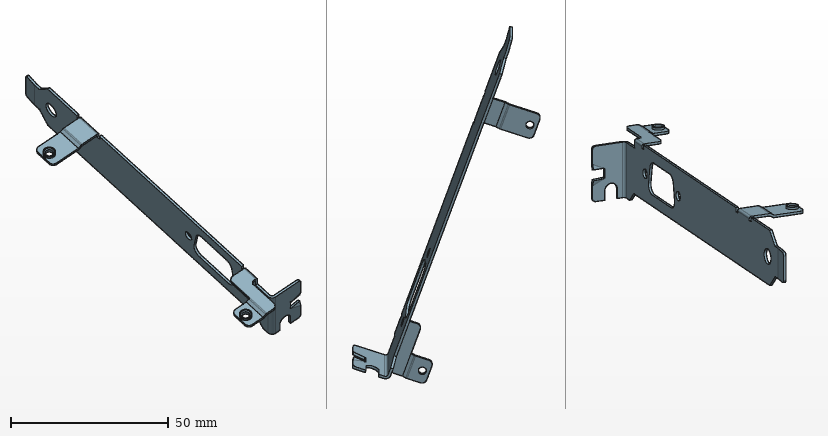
import cadquery as cq
import math

sheet = 0.9
length = 125.9
height = 21.7
arm_reach = 18.6
flange_reach = 12.3

plate_height = 18.5
plate_bottom = height - plate_height
plate_middle = plate_bottom + plate_height / 2
flange_x = 120.9
flange_top = 18.6
flange_bend_radius = 1.8
foot_left = 116.7
step_x = 113.0
shoulder_start = 7.3
shoulder_end = 11.3
tab_height = 10.2
tab_length = 4.9
tab_tilt = 5.0
tab_corner_radius = 1.0

locating_hole_x = 13.0
locating_hole_diameter = 5.0
connector_x = 92.7
connector_width = 19.5
connector_height = 11.0
connector_side_angle = 10.0
connector_corner_radius = 2.8
screw_spacing = 24.9
screw_hole_diameter = 3.0

near_arm_left = 26.7
near_arm_width = 8.8
relief_width = 1.1
relief_depth = 1.4
far_arm_left = 107.4
far_arm_inner_y = -1.9
far_arm_outer_y = -6.4
far_arm_tip_y = -14.0
far_pad_width = 8.2
arm_corner_radius = 1.6
arm_root_radius = 0.8
arm_elbow_radius = 1.1
joggle_start_y = -6.5
joggle_angle = 30.0
joggle_drop = 0.8
joggle_bend_radius = 0.9

collar_inset = 2.4
collar_radius = 2.0
collar_hole_radius = 1.3
countersink = 0.4

screw_slot_y = 5.8
screw_slot_width = 4.4
screw_slot_top = 5.4
notch_root_y = 8.0
notch_width = 3.0
notch_z = 9.1
flange_corner_radius = 1.1
lip_height = 1.9
lip_angle = 16.0


def box(x0, x1, y0, y1, z0, z1):
    """Axis-aligned block between the given limits."""
    return cq.Workplane("XY").box(x1 - x0, y1 - y0, z1 - z0, centered=False).translate((x0, y0, z0))


def make_plate_and_flange():
    """Bent strip cut to the outline of the plate."""
    tab_shift = tab_length * math.tan(math.radians(tab_tilt))
    strip = (
        cq.Workplane("XY")
        .polyline([
            (0, tab_shift), (tab_length, 0), (flange_x, 0), (flange_x, flange_reach),
            (flange_x - sheet, flange_reach), (flange_x - sheet, sheet),
            (tab_length, sheet), (0, sheet + tab_shift),
        ])
        .close()
        .extrude(height)
    )
    strip = strip.edges(cq.NearestToPointSelector((flange_x, 0, height / 2))).fillet(flange_bend_radius)
    inner_corner = cq.NearestToPointSelector((flange_x - sheet, sheet, height / 2))
    strip = strip.edges(inner_corner).fillet(flange_bend_radius - sheet)

    tab_bottom = plate_middle - tab_height / 2
    tab_top = plate_middle + tab_height / 2
    outline = (
        cq.Workplane("XZ", origin=(0, flange_reach, 0))
        .polyline([
            (0, tab_bottom), (shoulder_start, tab_bottom), (shoulder_end, plate_bottom),
            (foot_left - plate_bottom, plate_bottom), (foot_left, 0), (flange_x, 0),
            (flange_x, flange_top), (step_x, flange_top), (step_x, height),
            (shoulder_end, height), (shoulder_start, tab_top), (0, tab_top),
        ])
        .close()
        .extrude(flange_reach)
        .edges("|Y and <X")
        .fillet(tab_corner_radius)
    )
    return strip.intersect(outline).edges("|X and >Y").fillet(flange_corner_radius)


def plate_openings():
    """Locating hole, connector window with its two screw holes."""
    front = cq.Workplane("XZ", origin=(0, sheet, 0))
    lean = math.radians(connector_side_angle)
    corner_setback = connector_corner_radius * math.tan(math.pi / 4 + lean / 2)
    half_bottom = connector_width / 2 - connector_corner_radius + corner_setback
    half_top = half_bottom - connector_height * math.tan(lean)
    low = plate_middle - connector_height / 2
    high = plate_middle + connector_height / 2
    window = (
        front.polyline([
            (connector_x - half_bottom, low), (connector_x + half_bottom, low),
            (connector_x + half_top, high), (connector_x - half_top, high),
        ])
        .close()
        .extrude(sheet)
        .edges("|Y")
        .fillet(connector_corner_radius)
    )
    locating_hole = (
        front.center(locating_hole_x, plate_middle)
        .circle(locating_hole_diameter / 2)
        .extrude(sheet)
    )
    screw_holes = (
        front.center(connector_x, plate_middle)
        .pushPoints([(-screw_spacing / 2, 0), (screw_spacing / 2, 0)])
        .circle(screw_hole_diameter / 2)
        .extrude(sheet)
    )
    return window.union(locating_hole).union(screw_holes)


def arm_reliefs():
    """Notches in the top edge beside the arm roots."""
    reliefs = cq.Workplane("XY")
    near_arm_right = near_arm_left + near_arm_width
    for left in (near_arm_left - relief_width, near_arm_right, far_arm_left - relief_width):
        reliefs = reliefs.add(box(left, left + relief_width, 0, sheet, height - relief_depth, height))
    return reliefs.combine()


def joggled_strip():
    """Long strip with the arm side profile, running the full length of the part."""
    slope = math.tan(math.radians(joggle_angle))
    run = joggle_drop / slope
    lag = sheet * math.tan(math.radians(joggle_angle / 2))
    under_start_y = joggle_start_y + lag
    under_end_y = under_start_y - run
    pad_top = height - joggle_drop
    strip = (
        cq.Workplane("YZ")
        .polyline([
            (0, height), (joggle_start_y, height), (joggle_start_y - run, pad_top),
            (-arm_reach, pad_top), (-arm_reach, pad_top - sheet), (under_end_y, pad_top - sheet),
            (under_start_y, height - sheet), (0, height - sheet),
        ])
        .close()
        .extrude(length)
    )
    for y, z in ((joggle_start_y, height), (under_end_y, pad_top - sheet)):
        strip = strip.edges(cq.NearestToPointSelector((length / 2, y, z))).fillet(joggle_bend_radius)
    return strip


def near_arm_plan():
    """Straight arm outline seen along Z, as a full-height block."""
    plan = box(near_arm_left, near_arm_left + near_arm_width, -arm_reach, 0, 0, height)
    return plan.edges("|Z and <Y").fillet(arm_corner_radius)


def far_arm_plan():
    """Cranked arm outline seen along Z, as a full-height block."""
    pad_left = length - far_pad_width
    plan = (
        cq.Workplane("XY")
        .polyline([
            (far_arm_left, 0), (far_arm_left, far_arm_outer_y), (pad_left, far_arm_outer_y),
            (pad_left, far_arm_tip_y), (length, far_arm_tip_y), (length, far_arm_inner_y),
            (step_x, far_arm_inner_y), (step_x, 0),
        ])
        .close()
        .extrude(height)
    )
    rounded = (
        (far_arm_left, far_arm_outer_y), (pad_left, far_arm_tip_y),
        (length, far_arm_tip_y), (length, far_arm_inner_y),
    )
    for x, y in rounded:
        plan = plan.edges(cq.NearestToPointSelector((x, y, height / 2))).fillet(arm_corner_radius)
    elbow = cq.NearestToPointSelector((step_x, far_arm_inner_y, height / 2))
    return plan.edges(elbow).fillet(arm_elbow_radius)


def add_collar(arm, x, y):
    """Collar standing on the pad, flush with the top of the arm, with a bevelled through hole."""
    pad_bottom = height - joggle_drop - sheet
    base = cq.Workplane("XY", origin=(x, y, pad_bottom))
    depth = height - pad_bottom
    collar = base.circle(collar_radius).extrude(depth)
    bore = (
        base.circle(collar_hole_radius)
        .extrude(depth)
        .faces(">Z")
        .workplane(offset=-countersink)
        .circle(collar_hole_radius)
        .workplane(offset=countersink)
        .circle(collar_hole_radius + countersink)
        .loft(combine=True)
    )
    return arm.union(collar).cut(bore)


def flange_openings():
    """Round-ended screw slot and the open notch in the flange tip."""
    inner_x = flange_x - sheet
    slot_radius = screw_slot_width / 2
    slot_center_z = screw_slot_top - slot_radius
    slot = box(inner_x, flange_x, screw_slot_y - slot_radius, screw_slot_y + slot_radius, 0, slot_center_z)
    slot_end = (
        cq.Workplane("YZ", origin=(inner_x, screw_slot_y, slot_center_z))
        .circle(slot_radius)
        .extrude(sheet)
    )
    notch = box(
        inner_x, flange_x, notch_root_y, flange_reach,
        notch_z - notch_width / 2, notch_z + notch_width / 2,
    )
    return slot.union(slot_end).union(notch)


def lip_blank(side):
    """Triangle between the notch edge and its bend line; side is +1 above the notch, -1 below."""
    edge_z = notch_z + side * notch_width / 2
    return (
        cq.Workplane("YZ", origin=(flange_x - sheet, 0, 0))
        .polyline([
            (notch_root_y, edge_z), (flange_reach, edge_z),
            (flange_reach, edge_z + side * lip_height),
        ])
        .close()
        .extrude(sheet)
    )


def bent_lip(side):
    """The lip blank turned towards -X about its bend line on the outer face."""
    edge_z = notch_z + side * notch_width / 2
    bend_start = (flange_x, notch_root_y, edge_z)
    bend_end = (flange_x, flange_reach, edge_z + side * lip_height)
    return lip_blank(side).rotate(bend_start, bend_end, side * lip_angle)


bracket = make_plate_and_flange().cut(plate_openings()).cut(arm_reliefs()).cut(flange_openings())
for side in (1, -1):
    bracket = bracket.cut(lip_blank(side)).union(bent_lip(side))

strip = joggled_strip()
near_arm = add_collar(
    strip.intersect(near_arm_plan()),
    near_arm_left + near_arm_width / 2, collar_inset - arm_reach,
)
far_arm = add_collar(
    strip.intersect(far_arm_plan()),
    length - far_pad_width / 2, far_arm_tip_y + collar_inset,
)
bracket = bracket.union(near_arm).union(far_arm)
for x in (near_arm_left + near_arm_width / 2, (far_arm_left + step_x) / 2):
    root_edge = cq.NearestToPointSelector((x, sheet, height))
    bracket = bracket.edges(root_edge).fillet(arm_root_radius)
result = bracket